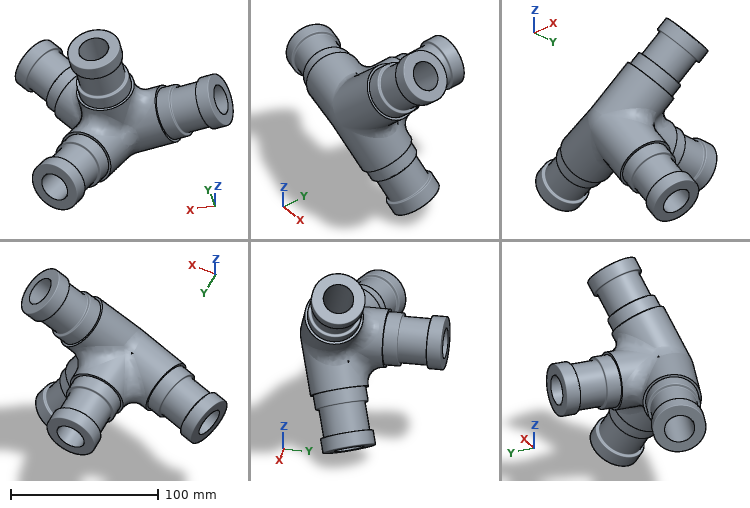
import cadquery as cq
import math

hub_length = 40.0
collar_length = 10.0
tube_length = 20.0
ring_length = 10.0

hub_radius = 20.0
collar_radius = 18.2
tube_radius = 16.0
bore_radius = 10.3

edge_round = 0.5
valley_round = 10.0

arm_angles = [(0, 90), (45.9, 11.7), (186.1, 16), (-59.6, 15.1)]

collar_start = hub_length
tube_start = collar_start + collar_length
ring_start = tube_start + tube_length
arm_length = ring_start + ring_length


def arm_direction(bearing, tilt):
    """Unit vector pointing outwards along an arm."""
    bearing = math.radians(bearing)
    tilt = math.radians(tilt)
    return cq.Vector(
        math.cos(bearing) * math.cos(tilt),
        math.sin(tilt),
        math.sin(bearing) * math.cos(tilt),
    )


def cylinder(radius, start, end, direction):
    """Cylinder along an arm between two distances from the centre."""
    return cq.Workplane(cq.Solid.makeCylinder(radius, end - start, direction * start, direction))


def make_hub(directions):
    """Four thick cylinders around a central ball, with rounded valleys where they cross."""
    hub = cq.Workplane("XY").sphere(hub_radius)
    for direction in directions:
        hub = hub.union(cylinder(hub_radius, 0, hub_length, direction))
    return hub.edges("%ELLIPSE").fillet(valley_round)


def make_spigot(direction):
    """Stepped arm end: collar, thinner tube and retaining ring, with its small edges rounded."""
    spigot_length = arm_length - collar_start
    ring_base = ring_start - collar_start
    profile = (
        cq.Workplane("XZ")
        .moveTo(0, 0)
        .lineTo(collar_radius, 0)
        .lineTo(collar_radius, collar_length)
        .lineTo(tube_radius, collar_length)
        .lineTo(tube_radius, ring_base)
        .lineTo(collar_radius, ring_base)
        .lineTo(collar_radius, spigot_length)
        .lineTo(0, spigot_length)
        .close()
    )
    spigot = profile.revolve(360, (0, 0, 0), (0, 1, 0))
    spigot = spigot.edges("%CIRCLE").edges("not <Z").fillet(edge_round)
    plane = cq.Plane(origin=direction * collar_start, normal=direction)
    return cq.Workplane(spigot.val().moved(cq.Location(plane)))


directions = [arm_direction(*angles) for angles in arm_angles]

result = make_hub(directions)
for direction in directions:
    result = result.union(make_spigot(direction))
for direction in directions:
    result = result.cut(cylinder(bore_radius, 0, arm_length, direction))